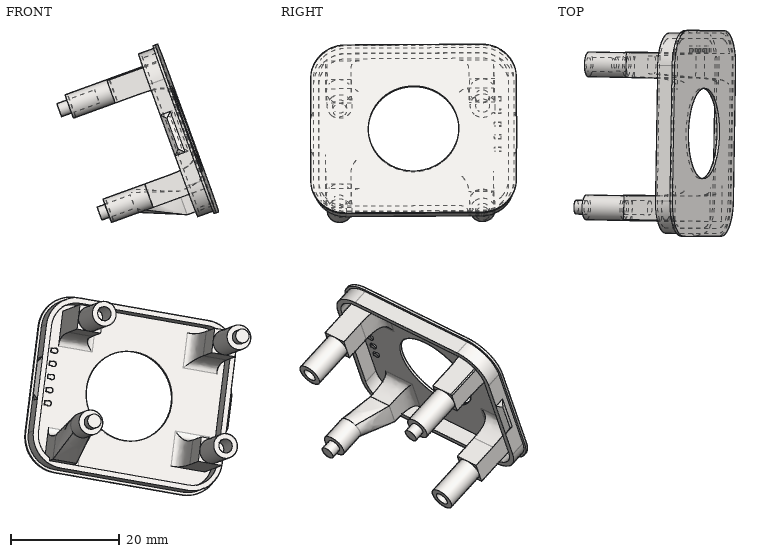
import cadquery as cq
import math

TURN_ANGLE = -1.0
TILT_ANGLE = -20.0

RIM_WIDTH = 37.0
RIM_HEIGHT = 32.0
RIM_RADIUS = 6.0
RIM_END = -3.5
WALL = 1.0
FLANGE_LIP = 0.5
PLATE_THICKNESS = 0.5
OPENING_DIAMETER = 16.7

POST_CENTER_Y = -0.75
POST_CENTER_Z = 1.0
POST_SPACING_Y = 26.4
POST_SPACING_Z = 20.5
POST_DIAMETER = 4.6
POST_END = -18.8
SHOULDER_X = -10.6
PIN_DIAMETER = 2.6
PIN_LENGTH = 2.0
SOCKET_DEPTH = 5.0

FLARE_START = -5.6
FLARE_REACH = 2.0
FLARE_FULLNESS = 0.73

LEAN_END = -13.9

WEDGE_WIDTH = 2.0
WEDGE_BASE_LENGTH = 8.0
WEDGE_RIDGE_LENGTH = 6.03
WEDGE_HEIGHT = 0.57

KEY_COUNT = 5
KEY_PITCH = 2.48
KEY_Y = 15.35
KEY_DIAMETER = 1.0
KEY_TAB_LENGTH = 0.8
KEY_TAB_WIDTH = 0.75
KEY_HEIGHT = 0.3

FLOOR_X = -PLATE_THICKNESS
LEG_HALF = POST_DIAMETER / 2
INNER_HALF_HEIGHT = RIM_HEIGHT / 2 - WALL


def rounded_slab(offset, x_start, x_end):
    """Rim outline grown by offset, between two X positions."""
    return (
        cq.Workplane("YZ", origin=(x_start, 0, 0))
        .rect(RIM_WIDTH + 2 * offset, RIM_HEIGHT + 2 * offset)
        .extrude(x_end - x_start)
        .edges("|X")
        .fillet(RIM_RADIUS + offset)
    )


def cylinder(y, z, diameter, x_start, x_end):
    return cq.Workplane("YZ", origin=(x_start, y, z)).circle(diameter / 2).extrude(x_end - x_start)


def flared_profile(plane, center, direction):
    """Leg profile in the XY or XZ plane, flared toward direction, extruded right across the plate."""
    handle_x = FLARE_START + FLARE_FULLNESS * (FLOOR_X - FLARE_START)
    near = center + direction * LEG_HALF
    far = center - direction * LEG_HALF
    foot = near + direction * FLARE_REACH
    handle = foot - direction * FLARE_FULLNESS * FLARE_REACH
    return (
        cq.Workplane(plane)
        .moveTo(0, far)
        .lineTo(SHOULDER_X, far)
        .lineTo(SHOULDER_X, near)
        .lineTo(FLARE_START, near)
        .bezier([(FLARE_START, near), (handle_x, near), (FLOOR_X, handle), (FLOOR_X, foot)])
        .lineTo(0, foot)
        .close()
        .extrude(RIM_WIDTH, both=True)
    )


def square_leg(y, z, flare_y, flare_z):
    """Square leg whose foot flares on two sides, meeting in a mitre."""
    return flared_profile("XY", y, flare_y).intersect(flared_profile("XZ", z, flare_z))


def leaning_section(y, base_z, post_z):
    """Blend from the square leg at base_z to the round post at post_z."""
    corner = LEG_HALF * math.sqrt(0.5)
    return (
        cq.Workplane("YZ", origin=(FLARE_START, y, base_z))
        .rect(POST_DIAMETER, POST_DIAMETER)
        .workplane(offset=LEAN_END - FLARE_START)
        .center(0, post_z - base_z)
        .moveTo(-corner, -corner)
        .threePointArc((0, -LEG_HALF), (corner, -corner))
        .threePointArc((LEG_HALF, 0), (corner, corner))
        .threePointArc((0, LEG_HALF), (-corner, corner))
        .threePointArc((-LEG_HALF, 0), (-corner, -corner))
        .close()
        .loft()
    )


def leaning_leg(y, post_z, flare_y, flare_z):
    """Flared foot standing against the lower rim wall, then a blend up to the post."""
    base_z = LEG_HALF - INNER_HALF_HEIGHT
    foot_zone = (
        cq.Workplane("YZ", origin=(FLARE_START, 0, 0))
        .rect(RIM_WIDTH, RIM_HEIGHT)
        .extrude(FLOOR_X - FLARE_START)
    )
    foot = square_leg(y, base_z, flare_y, flare_z).intersect(foot_zone)
    return foot.union(leaning_section(y, base_z, post_z))


def snap_wedge(side):
    """Roof-shaped wedge on the +Y (side = 1) or -Y (side = -1) face of the rim."""
    face_y = side * RIM_WIDTH / 2
    middle_x = RIM_END + WEDGE_WIDTH / 2
    roof = (
        cq.Workplane("XY", origin=(0, 0, -WEDGE_BASE_LENGTH / 2))
        .polyline([
            (RIM_END, face_y),
            (middle_x, face_y + side * WEDGE_HEIGHT),
            (RIM_END + WEDGE_WIDTH, face_y),
        ])
        .close()
        .extrude(WEDGE_BASE_LENGTH)
    )
    sloped_ends = (
        cq.Workplane("YZ", origin=(RIM_END, 0, 0))
        .polyline([
            (face_y, -WEDGE_BASE_LENGTH / 2),
            (face_y + side * WEDGE_HEIGHT, -WEDGE_RIDGE_LENGTH / 2),
            (face_y + side * WEDGE_HEIGHT, WEDGE_RIDGE_LENGTH / 2),
            (face_y, WEDGE_BASE_LENGTH / 2),
        ])
        .close()
        .extrude(WEDGE_WIDTH)
    )
    return roof.intersect(sloped_ends)


def key(z):
    """Low round button with a square tab toward +Y."""
    top_x = FLOOR_X - KEY_HEIGHT
    button = cylinder(KEY_Y, z, KEY_DIAMETER, top_x, FLOOR_X)
    tab = (
        cq.Workplane("YZ", origin=(top_x, KEY_Y + KEY_TAB_LENGTH / 2, z))
        .rect(KEY_TAB_LENGTH, KEY_TAB_WIDTH)
        .extrude(KEY_HEIGHT)
    )
    return button.union(tab)


inside = rounded_slab(-WALL, SHOULDER_X, FLOOR_X)
body = rounded_slab(FLANGE_LIP, FLOOR_X, 0).union(rounded_slab(0, RIM_END, FLOOR_X)).cut(inside)
body = body.cut(cylinder(0, 0, OPENING_DIAMETER, FLOOR_X, 0))

for side_y in (1, -1):
    for side_z in (1, -1):
        y = POST_CENTER_Y + side_y * POST_SPACING_Y / 2
        z = POST_CENTER_Z + side_z * POST_SPACING_Z / 2
        leans = side_y == 1 and side_z == -1
        has_pin = side_y != side_z
        if leans:
            body = body.union(leaning_leg(y, z, -side_y, -side_z))
            round_start = LEAN_END
        else:
            body = body.union(square_leg(y, z, -side_y, -side_z).intersect(inside))
            round_start = SHOULDER_X
        body = body.union(cylinder(y, z, POST_DIAMETER, POST_END, round_start))
        if has_pin:
            body = body.union(cylinder(y, z, PIN_DIAMETER, POST_END - PIN_LENGTH, POST_END))
        else:
            body = body.cut(cylinder(y, z, PIN_DIAMETER, POST_END, POST_END + SOCKET_DEPTH))

for side in (1, -1):
    body = body.union(snap_wedge(side))

for index in range(KEY_COUNT):
    body = body.union(key(POST_CENTER_Z + (index - (KEY_COUNT - 1) / 2) * KEY_PITCH))

result = body.rotate((0, 0, 0), (0, 0, 1), TURN_ANGLE).rotate((0, 0, 0), (0, 1, 0), TILT_ANGLE)